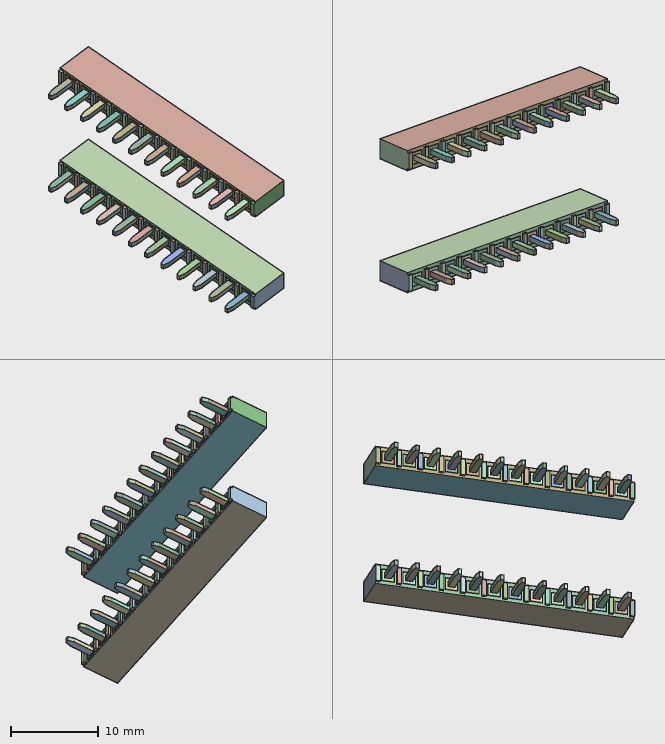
import cadquery as cq

strip_length = 30.98
strip_height = 2.5
strip_spacing = 15.25
strip_count = 2
pin_count = 12
rib_width = 0.53
pin_pitch = (strip_length - rib_width) / pin_count
first_pin_x = -pin_pitch * (pin_count - 1) / 2

total_depth = 8.0
rib_projection = 0.3
pin_length = 3.0
block_depth = total_depth - pin_length - rib_projection
rib_height = 2.0

recess_side = 1.5
recess_depth = 0.1

pin_width = 0.8
pin_thickness = 0.65
tip_width = 0.4
tip_length = 0.77

recess_floor_y = recess_depth
tip_end_y = -rib_projection - pin_length
tip_start_y = tip_end_y + tip_length


def make_block():
    """Plain rectangular housing block."""
    block = cq.Workplane("XY").box(strip_length, block_depth, strip_height)
    return block.translate((0, block_depth / 2, 0))


def make_rib(x):
    """Upright rib standing on the pin-side face."""
    rib = cq.Workplane("XY").box(rib_width, rib_projection, rib_height)
    return rib.translate((x, -rib_projection / 2, 0))


def make_recess(x):
    """Square pocket sunk into the pin-side face."""
    recess = cq.Workplane("XY").box(recess_side, recess_depth, recess_side)
    return recess.translate((x, recess_depth / 2, 0))


def make_pin(x):
    """Pin from the recess floor to its tapered tip."""
    outline = [
        (x - pin_width / 2, recess_floor_y),
        (x - pin_width / 2, tip_start_y),
        (x - tip_width / 2, tip_end_y),
        (x + tip_width / 2, tip_end_y),
        (x + pin_width / 2, tip_start_y),
        (x + pin_width / 2, recess_floor_y),
    ]
    return cq.Workplane("XY").polyline(outline).close().extrude(pin_thickness / 2, both=True)


def make_strip(z):
    """One pin strip: block, ribs, recesses and pins in a single solid."""
    strip = make_block()
    for i in range(pin_count + 1):
        strip = strip.union(make_rib(first_pin_x + (i - 0.5) * pin_pitch))
    for i in range(pin_count):
        pin_x = first_pin_x + i * pin_pitch
        strip = strip.cut(make_recess(pin_x)).union(make_pin(pin_x))
    return strip.translate((0, 0, z))


strips = []
for level in range(strip_count):
    strip_z = (level - (strip_count - 1) / 2) * strip_spacing
    strips.append(make_strip(strip_z).val())

result = cq.Compound.makeCompound(strips)